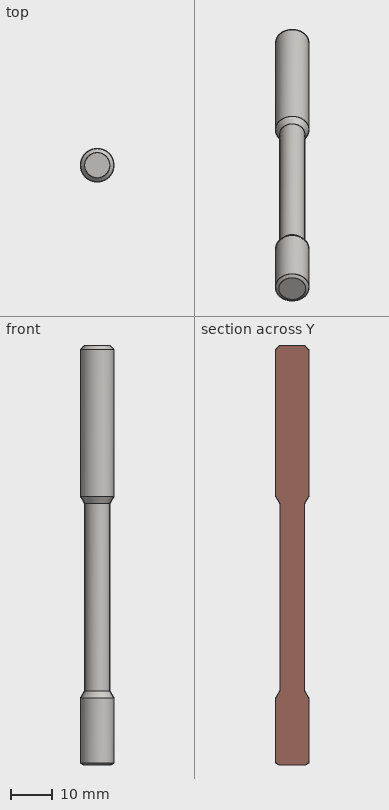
import cadquery as cq

length = 100.0
end_radius = 4.0
neck_radius = 3.0

lower_end_top = 16.0
upper_end_length = 36.0
taper_length = 1.7
top_chamfer_height = 1.0
top_chamfer_width = 1.0
bottom_chamfer_height = 0.5
bottom_chamfer_width = 0.8

upper_end_bottom = length - upper_end_length

profile = [
    (0, 0),
    (end_radius - bottom_chamfer_width, 0),
    (end_radius, bottom_chamfer_height),
    (end_radius, lower_end_top),
    (neck_radius, lower_end_top + taper_length),
    (neck_radius, upper_end_bottom - taper_length),
    (end_radius, upper_end_bottom),
    (end_radius, length - top_chamfer_height),
    (end_radius - top_chamfer_width, length),
    (0, length),
]

result = cq.Workplane("XZ").polyline(profile).close().revolve(360, (0, 0), (0, 1))